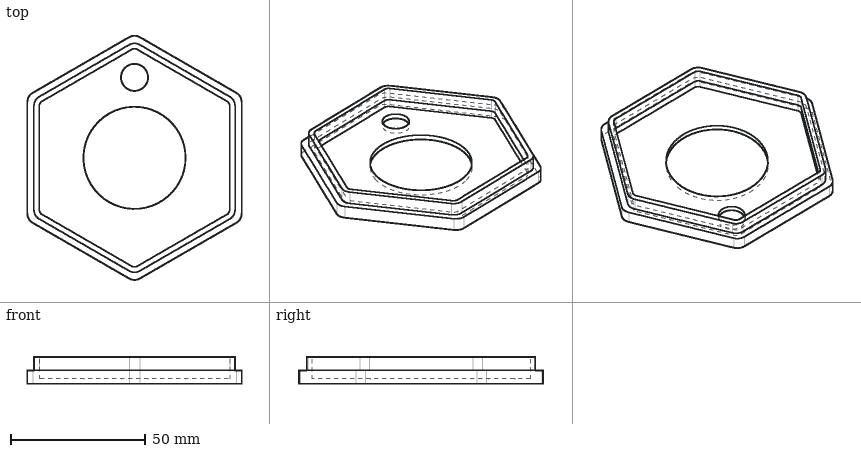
import cadquery as cq
import math

base_width = 80.0
base_height = 5.0
floor_thickness = 2.0
outer_corner_radius = 4.0

rim_width = 75.0
rim_height = 5.0
wall_thickness = 2.0

recess_width = rim_width - 2 * wall_thickness
recess_corner_radius = outer_corner_radius - wall_thickness
recess_depth = base_height - floor_thickness

center_hole_diameter = 38.0
small_hole_diameter = 10.0
small_hole_offset = 30.0


def rounded_hexagon(width, height, corner_radius, bottom):
    """Hexagonal prism with corners on the Y axis, flats facing X and rounded vertical edges."""
    corner_distance = width / 2 / math.cos(math.pi / 6)
    corners = [
        (
            corner_distance * math.sin(side * math.pi / 3),
            corner_distance * math.cos(side * math.pi / 3),
        )
        for side in range(6)
    ]
    return (
        cq.Workplane("XY", origin=(0, 0, bottom))
        .polyline(corners)
        .close()
        .extrude(height)
        .edges("|Z")
        .fillet(corner_radius)
    )


def floor_hole(diameter, y):
    """Cylinder that cuts a hole through the floor of the base."""
    return cq.Workplane("XY").center(0, y).circle(diameter / 2).extrude(floor_thickness)


def make_base():
    base = rounded_hexagon(base_width, base_height, outer_corner_radius, 0)
    recess = rounded_hexagon(recess_width, recess_depth, recess_corner_radius, floor_thickness)
    center_hole = floor_hole(center_hole_diameter, 0)
    small_hole = floor_hole(small_hole_diameter, small_hole_offset)
    return base.cut(recess).cut(center_hole).cut(small_hole)


def make_rim():
    outside = rounded_hexagon(rim_width, rim_height, outer_corner_radius, base_height)
    inside = rounded_hexagon(recess_width, rim_height, recess_corner_radius, base_height)
    return outside.cut(inside)


base = make_base()
rim = make_rim()

result = cq.Compound.makeCompound([base.val(), rim.val()])